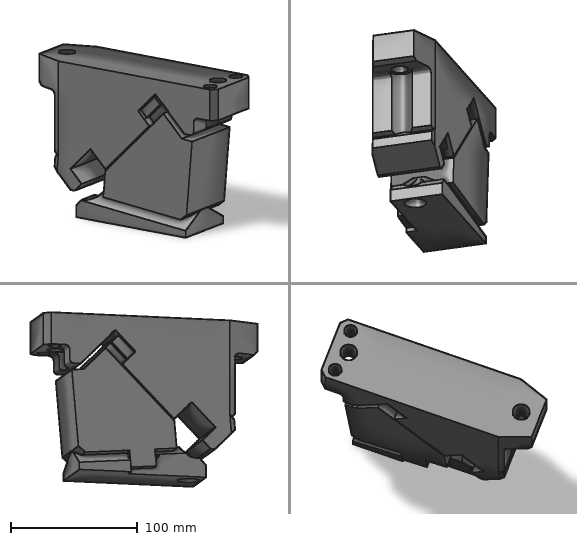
import cadquery as cq
import math


length = 175.0
width = 52.0
height = 125.0
half_width = width / 2
margin = 17.5

flange_depth = 25.4
flange_chamfer = 3.2
left_wall_x = 20.1
right_wall_x = 154.9
wall_fillet = 4.2
foot_fillet = 3.5
right_foot_z = -40.0
nose_run = 24.8
nose_angle = 20.0
end_chamfer = 4.9
lip_notch_x = 23.0
lip_notch_z = -77.2
lip_depth = 2.1
lip_height = 7.9
hook_bottom_z = -103.6
bolt_from_wall = 5.0
bolt_radius = 6.6
bolt_clearance_radius = 10.0
dowel_x = 164.8
dowel_y = 17.5
dowel_radius = 5.0

slide_angle = 45.0
slide_origin_x = 69.8
slide_origin_z = -82.6
slide_gap = 0.9
slide_start = 1.0
recess_start = 60.7
slide_end = 79.1
recess_end = 83.8
neck_height = 8.0
head_height = 7.9
neck_half_width = 18.5
head_half_width = 22.4
t_height = neck_height + head_height
jaw_depth = 21.0
jaw_start = -26.2
hook_tip_offset = 6.0

wedge_angle = 5.0
heel_height = 21.9
slider_bottom_length = 74.4
slider_length = 79.8
slider_corner_height = 5.0
slider_height = 66.3
slider_end_face = 25.0

base_left_x = 41.8
base_right_x = 147.0
base_chamfer_x = 47.0
base_chamfer_z = -109.9
base_left_z = -115.3
roof_edge_z = -110.5
roof_angle = 30.0
ridge_height = 12.2
scoop_radius = 10.8
scoop_x = 49.9
base_hole_x = 52.0
base_hole_radius = 8.8

guide_inner_y = 17.2
tongue_outer_y = 20.0
guide_start = 17.8
guide_end = 38.5
guide_depth = 13.5
tongue_depth = 9.0
tongue_top_lead = 4.9


def on_slide(along, offset):
    """XZ point: distance up the slide, and offset from it into the housing."""
    cos = math.cos(math.radians(slide_angle))
    sin = math.sin(math.radians(slide_angle))
    return slide_origin_x + along * cos - offset * sin, slide_origin_z + along * sin + offset * cos


wedge_cos = math.cos(math.radians(wedge_angle))
wedge_sin = math.sin(math.radians(wedge_angle))
heel_x = slide_origin_x - heel_height * wedge_sin
heel_z = slide_origin_z - heel_height * wedge_cos


def on_wedge(along, up):
    """XZ point: distance from the slider heel along its bottom, and above it."""
    return heel_x + along * wedge_cos + up * wedge_sin, heel_z - along * wedge_sin + up * wedge_cos


def prism(points, y_min=-half_width, y_max=half_width):
    """Extrude an XZ outline from y_min to y_max."""
    plane = cq.Workplane("XZ", origin=(0, y_max, 0))
    return plane.polyline(points).close().extrude(y_max - y_min)


def slide_block(start, end, bottom, top, half_y):
    """Block centred on y = 0 and aligned with the slide."""
    corners = [(start, bottom), (end, bottom), (end, top), (start, top)]
    return prism([on_slide(*corner) for corner in corners], -half_y, half_y)


def wedge_block(start, end, bottom, top, y_min, y_max):
    """Block aligned with the wedge face."""
    corners = [(start, bottom), (end, bottom), (end, top), (start, top)]
    return prism([on_wedge(*corner) for corner in corners], y_min, y_max)


def upright_cylinder(x, y, radius, z_min, z_max):
    return cq.Workplane("XY", origin=(x, y, z_min)).circle(radius).extrude(z_max - z_min)


def t_rail():
    """T-shaped rail of the slider, which also shapes its slot in the housing."""
    neck = slide_block(slide_start, slide_end, 0, neck_height, neck_half_width)
    head = slide_block(slide_start, slide_end, neck_height, t_height, head_half_width)
    return neck.union(head)


def region_above_lip():
    """Everything above the 45 degree plane of the lip's upper face."""
    reach = length
    return prism(
        [
            (lip_notch_x - reach, lip_notch_z - reach),
            (lip_notch_x + reach, lip_notch_z + reach),
            (lip_notch_x - reach, lip_notch_z + reach),
        ],
        -width,
        width,
    )


def nose_wedges():
    """The two corners that taper the nose, taller than the housing."""
    reach = nose_run + margin
    side_y = half_width - reach * math.tan(math.radians(nose_angle))
    wedges = cq.Workplane("XY")
    for side in (-1, 1):
        corner = (
            cq.Workplane("XY", origin=(0, 0, -height - margin))
            .moveTo(nose_run, side * half_width)
            .lineTo(nose_run - reach, side * side_y)
            .lineTo(nose_run - reach, side * width)
            .lineTo(nose_run, side * width)
            .close()
            .extrude(height + 2 * margin)
        )
        wedges = wedges.add(corner)
    return wedges.combine()


def housing_outline():
    lip_x = lip_notch_x - lip_depth
    lip_z = lip_notch_z - lip_depth
    lip_bottom_x = lip_x - lip_height * math.tan(math.radians(wedge_angle))
    lip_bottom_z = lip_z - lip_height
    hook_left_x = lip_bottom_x + lip_bottom_z - hook_bottom_z
    hook_tip = on_slide(jaw_start, hook_tip_offset)
    hook_right_x = hook_tip[0] - (hook_tip[1] - hook_bottom_z)
    recess_corner = on_slide(recess_end, 0)
    foot_left_x = sum(recess_corner) - right_foot_z
    return [
        (0, 0),
        (0, flange_chamfer - flange_depth),
        (flange_chamfer, -flange_depth),
        (left_wall_x, -flange_depth),
        (left_wall_x, lip_notch_z + lip_notch_x - left_wall_x),
        (lip_notch_x, lip_notch_z),
        (lip_x, lip_z),
        (lip_bottom_x, lip_bottom_z),
        (hook_left_x, hook_bottom_z),
        (hook_right_x, hook_bottom_z),
        hook_tip,
        on_slide(jaw_start, jaw_depth),
        on_slide(slide_start, jaw_depth),
        on_slide(slide_start, slide_gap),
        on_slide(recess_start, slide_gap),
        on_slide(recess_start, t_height),
        on_slide(recess_end, t_height),
        (foot_left_x, right_foot_z),
        (right_wall_x, right_foot_z),
        (right_wall_x, -flange_depth),
        (length, -flange_depth),
        (length, 0),
    ]


def edge_at(x, z):
    """Selector for the edge along Y through (x, z)."""
    reach = 0.4
    return cq.selectors.BoxSelector(
        (x - reach, -width, z - reach), (x + reach, width, z + reach)
    )


def make_housing():
    body = prism(housing_outline())
    for x in (left_wall_x, right_wall_x):
        body = body.edges(edge_at(x, -flange_depth)).fillet(wall_fillet)
    body = body.edges(edge_at(right_wall_x, right_foot_z)).fillet(foot_fillet)
    body = body.edges("|Z and >X").chamfer(end_chamfer)

    above_lip = region_above_lip()
    wedges = nose_wedges()
    lean_z = lip_notch_z + nose_run - lip_notch_x
    leaning = wedges.rotate((nose_run, 0, lean_z), (nose_run, 1, lean_z), wedge_angle)
    body = body.cut(wedges.intersect(above_lip)).cut(leaning.cut(above_lip))

    for x in (left_wall_x - bolt_from_wall, right_wall_x + bolt_from_wall):
        body = body.cut(upright_cylinder(x, 0, bolt_radius, -flange_depth, 0))
        groove = upright_cylinder(x, 0, bolt_clearance_radius, -height, -flange_depth)
        if x < left_wall_x:
            groove = groove.intersect(above_lip)
        body = body.cut(groove)

    for y in (-dowel_y, dowel_y):
        body = body.cut(upright_cylinder(dowel_x, y, dowel_radius, -flange_depth, 0))

    return body.cut(t_rail()).solids()


def roof_prism():
    """Ridge-roofed prism whose slopes carry the slider, sloping with the wedge angle."""
    ridge_half_width = half_width - ridge_height / math.tan(math.radians(roof_angle))
    run = length / wedge_cos
    section = [
        (-half_width, -height),
        (half_width, -height),
        (half_width, 0),
        (ridge_half_width, ridge_height),
        (-ridge_half_width, ridge_height),
        (-half_width, 0),
    ]
    start_z = roof_edge_z + base_chamfer_x * math.tan(math.radians(wedge_angle))
    return (
        cq.Workplane("YZ", origin=(0, 0, start_z))
        .polyline(section)
        .close()
        .extrude(run)
        .rotate((0, 0, start_z), (0, 1, start_z), wedge_angle)
    )


def guide_tongue():
    """Tongue on the side of the base; its tip overhangs toward the top."""
    return prism(
        [
            on_wedge(guide_start, -tongue_depth),
            on_wedge(guide_end, -tongue_depth),
            on_wedge(guide_end, 0),
            on_wedge(guide_start - tongue_top_lead, tongue_top_lead - tongue_depth),
        ],
        guide_inner_y,
        tongue_outer_y,
    )


def make_slider():
    outline = [
        on_wedge(0, 0),
        on_wedge(slider_bottom_length, 0),
        on_wedge(slider_length, slider_corner_height),
        on_wedge(slider_length, slider_height),
        on_slide(slide_end, -slider_end_face),
        on_slide(slide_end, 0),
        on_slide(0, 0),
    ]
    body = prism(outline).union(t_rail())
    body = body.cut(roof_prism())

    plate = wedge_block(guide_start, guide_end, -guide_depth, 0, tongue_outer_y, half_width)
    hook = wedge_block(guide_start, guide_end, -guide_depth, -tongue_depth, guide_inner_y, tongue_outer_y)
    return body.union(plate).union(hook).solids()


def make_base():
    blank = prism(
        [
            (base_left_x, -height),
            (base_right_x, -height),
            (base_right_x, 0),
            (base_chamfer_x, 0),
            (base_chamfer_x, base_chamfer_z),
            (base_left_x, base_left_z),
        ]
    )
    body = blank.intersect(roof_prism())

    scoop_z = base_chamfer_z + scoop_radius
    scoop = (
        cq.Workplane("XZ", origin=(0, half_width, 0))
        .moveTo(scoop_x, base_chamfer_z)
        .radiusArc((scoop_x + scoop_radius, scoop_z), -scoop_radius)
        .lineTo(scoop_x + scoop_radius, 0)
        .lineTo(0, 0)
        .lineTo(0, base_chamfer_z)
        .close()
        .extrude(width)
    )
    body = body.cut(scoop)
    body = body.cut(upright_cylinder(base_hole_x, 0, base_hole_radius, -height, 0))

    pocket = wedge_block(-height, guide_end, -height, height, guide_inner_y, half_width)
    return body.cut(pocket.cut(guide_tongue())).solids()


housing = make_housing()
slider = make_slider()
base = make_base()

result = cq.Compound.makeCompound([housing.val(), slider.val(), base.val()])